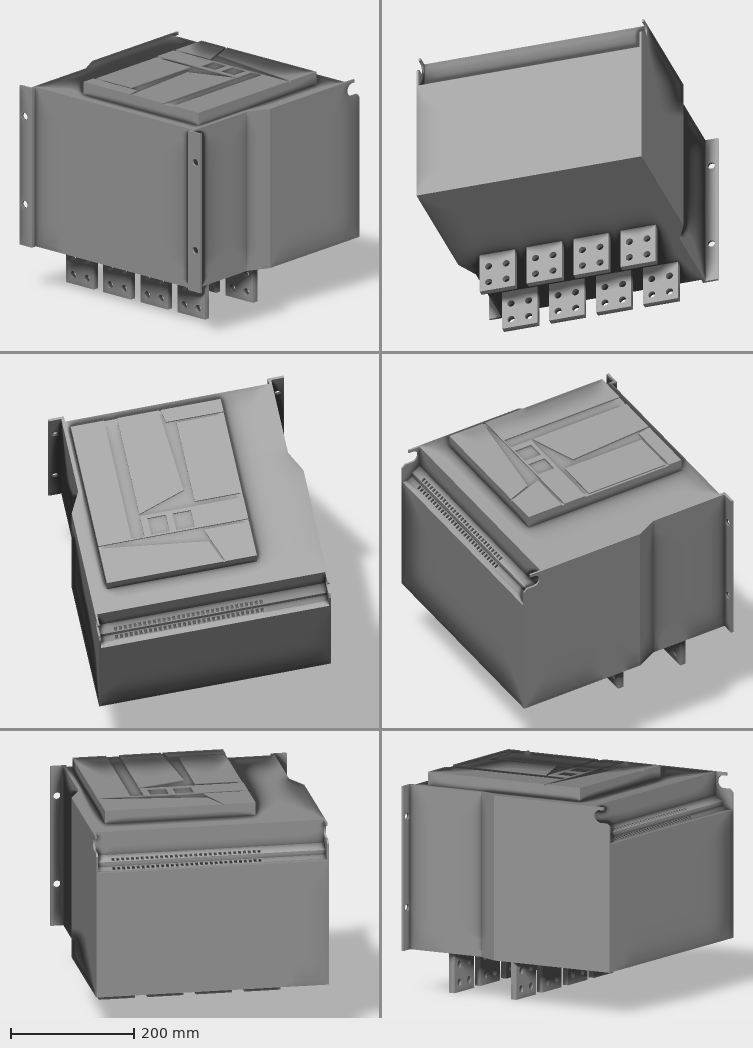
import cadquery as cq
import math


depth = 394.0
height = 271.0
half_front = 173.8
half_rear = 192.0
taper_start = 138.3
taper_end = 174.5
front_recess = 10.0

half_flange = 195.0
flange_inner = 168.5
flange_thickness = 4.0
flange_hole_x = 184.0
flange_hole_diameter = 12.0
flange_hole_heights = (70.5, 220.2)

half_ledge = 188.7
wall_y = 362.0
step_y = 376.0
slope_end_y = 384.0
ledge_drop = 39.5
ledge_step = 8.0
slope_angle = math.radians(30)
slope_fall = math.tan(slope_angle)
upper_slope_top = height - ledge_drop
upper_slope_bottom = upper_slope_top - (step_y - wall_y) * slope_fall
lower_slope_top = upper_slope_bottom - ledge_step
lower_slope_bottom = lower_slope_top - (slope_end_y - step_y) * slope_fall

notch_bottom_drop = 26.5
lip_thickness = 5.0
lip_setback = 12.0
notch_depth = 29.0
notch_chamfer = 5.5

vent_count = 31
vent_span = 240.7
vent_width = 4.7
vent_length = 6.5
vent_edge_margin = 1.5
vent_depth = 4.7

cover_left = -84.5
cover_right = 164.0
cover_front = 31.5
cover_rear = 320.7
cover_thickness = 19.7
panel_thickness = 2.5
plate_top = height + cover_thickness
cover_top = plate_top + panel_thickness

rear_panel_front = 257.5
rear_left_tip_x = -9.5
rear_groove_x = -29.0
rear_groove_width = 3.0
rear_right_corner = (-13.0, 279.7)
rear_right_tip_x = 158.8

band_front = 212.8
band_rear = 252.5
strip_left = 87.0
strip_right = 108.7
strip_rear = 251.0
strip_chamfer = 1.5

window_size = 30.5
window_front = 219.0
window_lefts = (4.0, 45.5)

centre_panel_rear = 209.2
centre_panel_corner = (8.0, 181.0)
front_groove_x = 15.5
front_groove_width = 3.0
front_left_rear_x = 11.0
front_left_rear = 54.8

display_left = -81.0
display_right = -5.5
display_front = 59.0
display_rear = 204.5

bar_width = 60.0
bar_thickness = 10.2
bar_length = 69.7
bar_count = 4
bar_pitch = 80.0
bar_rows_y = (68.0, 186.0)
bar_hole_diameter = 12.0
bar_hole_pitch = 30.0
bar_hole_end_distance = 15.8


def box(x_min, x_max, y_min, y_max, z_min, z_max):
    """Axis-aligned block between the given limits."""
    size = (x_max - x_min, y_max - y_min, z_max - z_min)
    return cq.Workplane("XY").box(*size, centered=False).translate((x_min, y_min, z_min))


def make_enclosure():
    """Enclosure that widens towards the rear, with a flange on each front corner."""
    right_side = [
        (flange_inner, front_recess),
        (flange_inner, 0),
        (half_flange, 0),
        (half_flange, flange_thickness),
        (half_front, flange_thickness),
        (half_front, taper_start),
        (half_rear, taper_end),
        (half_rear, depth),
    ]
    left_side = [(-x, y) for x, y in reversed(right_side)]
    enclosure = cq.Workplane("XY").polyline(right_side + left_side).close().extrude(height)
    hole_points = [(x, z) for x in (-flange_hole_x, flange_hole_x) for z in flange_hole_heights]
    holes = (
        cq.Workplane("XZ")
        .pushPoints(hole_points)
        .circle(flange_hole_diameter / 2)
        .extrude(-flange_thickness)
    )
    return enclosure.cut(holes)


def make_ledge_cut():
    """Space above the two sloped rear ledges, between the side plates."""
    return (
        cq.Workplane("YZ", origin=(-half_ledge, 0, 0))
        .moveTo(wall_y, height)
        .lineTo(wall_y, upper_slope_top)
        .lineTo(step_y, upper_slope_bottom)
        .lineTo(step_y, lower_slope_top)
        .lineTo(slope_end_y, lower_slope_bottom)
        .lineTo(depth, lower_slope_bottom)
        .lineTo(depth, height)
        .close()
        .extrude(2 * half_ledge)
    )


def make_notch_cut():
    """Round-ended notch through both side plates, leaving a lip at the top."""
    notch_top = height - lip_thickness
    notch_bottom = height - notch_bottom_drop
    notch_radius = (notch_top - notch_bottom) / 2
    arc_y = depth - notch_depth + notch_radius
    return (
        cq.Workplane("YZ", origin=(-half_rear, 0, 0))
        .moveTo(depth, height)
        .lineTo(depth - lip_setback, height)
        .lineTo(depth - lip_setback, notch_top)
        .lineTo(arc_y, notch_top)
        .threePointArc((depth - notch_depth, notch_top - notch_radius), (arc_y, notch_bottom))
        .lineTo(depth - notch_chamfer, notch_bottom)
        .lineTo(depth, notch_bottom - notch_chamfer)
        .close()
        .extrude(2 * half_rear)
    )


def make_vent_row(edge_y, edge_z):
    """Row of slots cut square into a slope, just above the slope's lower edge."""
    center_x = (cover_left + cover_right) / 2
    slope = cq.Plane(
        origin=(center_x, edge_y, edge_z),
        xDir=(1, 0, 0),
        normal=(0, math.sin(slope_angle), math.cos(slope_angle)),
    )
    return (
        cq.Workplane(slope)
        .center(0, -vent_edge_margin - vent_length / 2)
        .rarray(vent_span / (vent_count - 1), 4, vent_count, 1)
        .rect(vent_width, vent_length)
        .extrude(-vent_depth)
    )


def make_panel(outline):
    """Raised flat panel on top of the cover plate."""
    return cq.Workplane("XY", origin=(0, 0, plate_top)).polyline(outline).close().extrude(panel_thickness)


def make_cover():
    """Cover plate with flat raised panels separated by grooves."""
    rear_left_panel = [
        (cover_left, rear_panel_front),
        (rear_left_tip_x, rear_panel_front),
        (rear_groove_x - rear_groove_width, cover_rear),
        (cover_left, cover_rear),
    ]
    rear_right_panel = [
        (rear_groove_x, cover_rear),
        rear_right_corner,
        (rear_right_tip_x, rear_panel_front),
        (cover_right, rear_panel_front),
        (cover_right, cover_rear),
    ]
    band_panel = [
        (cover_left, band_front),
        (strip_left, band_front),
        (strip_left, strip_rear - strip_chamfer),
        (strip_left + strip_chamfer, strip_rear),
        (strip_right - strip_chamfer, strip_rear),
        (strip_right, strip_rear - strip_chamfer),
        (strip_right, cover_front),
        (cover_right, cover_front),
        (cover_right, band_rear),
        (cover_left, band_rear),
    ]
    centre_panel = [
        (strip_left, cover_front),
        (strip_left, centre_panel_rear),
        centre_panel_corner,
        (front_groove_x + front_groove_width, cover_front),
    ]
    front_left_panel = [
        (cover_left, cover_front),
        (front_groove_x, cover_front),
        (front_left_rear_x, front_left_rear),
        (cover_left, front_left_rear),
    ]
    cover = box(cover_left, cover_right, cover_front, cover_rear, height, plate_top)
    for outline in (rear_left_panel, rear_right_panel, band_panel, centre_panel, front_left_panel):
        cover = cover.union(make_panel(outline))
    cover = cover.union(box(display_left, display_right, display_front, display_rear, plate_top, cover_top))

    window_rear = window_front + window_size
    for left in window_lefts:
        window = box(left, left + window_size, window_front, window_rear, plate_top, cover_top)
        cover = cover.cut(window)
    return cover


def make_bar():
    """One connection bar, hanging below Z = 0 and centred on X = 0 and Y = 0."""
    bar = box(-bar_width / 2, bar_width / 2, -bar_thickness / 2, bar_thickness / 2, -bar_length, 0)
    hole_center_z = bar_hole_end_distance + bar_hole_pitch / 2 - bar_length
    holes = (
        cq.Workplane("XZ", origin=(0, bar_thickness / 2, hole_center_z))
        .rarray(bar_hole_pitch, bar_hole_pitch, 2, 2)
        .circle(bar_hole_diameter / 2)
        .extrude(bar_thickness)
    )
    return bar.cut(holes)


result = make_enclosure().cut(make_ledge_cut()).cut(make_notch_cut())
result = result.cut(make_vent_row(step_y, upper_slope_bottom))
result = result.cut(make_vent_row(slope_end_y, lower_slope_bottom))
result = result.union(make_cover())

bar = make_bar()
for row_y in bar_rows_y:
    for index in range(bar_count):
        bar_x = (index - (bar_count - 1) / 2) * bar_pitch
        result = result.union(bar.translate((bar_x, row_y, 0)))